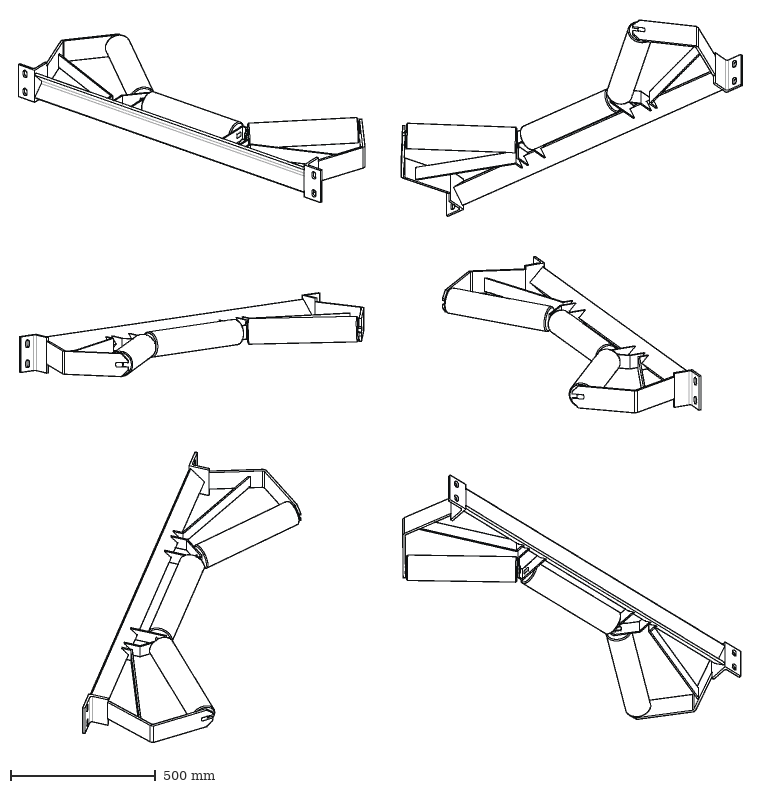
import cadquery as cq
import math

OVERALL_WIDTH = 1305.0

BEAM_LEG = 70.0
BEAM_THICKNESS = 9.0
BEAM_ROOT_RADIUS = 8.0
BEAM_LENGTH = 1162.0
BEAM_HALF_HEIGHT = BEAM_LEG / math.sqrt(2)
BEAM_RIDGE_Y = (BEAM_LEG + BEAM_THICKNESS) / math.sqrt(2)

ROLLER_DIAMETER = 89.0
ROLLER_LENGTH = 381.0
ROLLER_CHAMFER = 4.0
SPINDLE_DIAMETER = 25.0
TONGUE_WIDTH = 16.0
SPINDLE_GAP = 4.0
TROUGH_ANGLE = 40.0
FORWARD_TILT = 1.7
CENTRE_ROLLER_Y = 135.0
SIDE_ROLLER_X = 373.0
SIDE_ROLLER_Y = 273.0
SIDE_ROLLER_Z = 5.0

ARM_THICKNESS = 8.5
FOOT_HEIGHT = 125.0
FOOT_BEND_RADIUS = 8.0
UPRIGHT_TOP_Y = 72.0
STRAP_TOP_Z = BEAM_HALF_HEIGHT
STRAP_HEIGHT = 81.0
STRAP_TIP_Y = 424.0
STRAP_TIP_CHAMFER = 23.0
ELBOW_Y = 245.0
FOOT_EDGE_X = 651.0
FOOT_SLOT_WIDTH = 16.0
FOOT_SLOT_LENGTH = 27.0
FOOT_SLOT_X = 623.0
FOOT_SLOT_Z = 35.0

BAR_HEIGHT = 50.0
BRACKET_THICKNESS = 5.0
BRACKET_OUTER_X = 272.0
BRACKET_INNER_X = 197.0
BRACKET_KNEE_Y = 89.0
BRACKET_BRIDGE_Y = 158.0
BRACE_THICKNESS = 5.9
BRACE_FOOT_X = 298.0
BRACE_KNEE_Y = 67.0
BRACE_TOP_Y = 205.0

BAR_FOOT_Y = BEAM_RIDGE_Y - BAR_HEIGHT / 2
UPRIGHT_X = BEAM_LENGTH / 2 + ARM_THICKNESS / 2
ELBOW_X = OVERALL_WIDTH / 2 - ARM_THICKNESS / 2
TROUGH = math.radians(TROUGH_ANGLE)


def bent_plate(path, thickness, height, bottom_z):
    """Plate of even thickness that follows a centreline in XY, with mitred bends."""
    headings = [
        math.atan2(end[1] - start[1], end[0] - start[0])
        for start, end in zip(path, path[1:])
    ]
    left_side = []
    right_side = []
    for index, (x, y) in enumerate(path):
        before = headings[max(index - 1, 0)]
        after = headings[min(index, len(headings) - 1)]
        turn = math.remainder(after - before, 2 * math.pi)
        normal = before + turn / 2 + math.pi / 2
        reach = thickness / 2 / math.cos(turn / 2)
        dx = reach * math.cos(normal)
        dy = reach * math.sin(normal)
        left_side.append((x + dx, y + dy))
        right_side.append((x - dx, y - dy))
    outline = left_side + right_side[::-1]
    return cq.Workplane("XY").polyline(outline).close().extrude(height).translate((0, 0, bottom_z))


def mirrored(body):
    """The same body on the other side of the trough."""
    return body.mirror("YZ")


def beam_section():
    """Angle section with its corner at the origin and its legs along +X and +Y."""
    return (
        cq.Workplane("XY")
        .polyline([
            (0, 0),
            (BEAM_LEG, 0),
            (BEAM_LEG, BEAM_THICKNESS),
            (BEAM_THICKNESS, BEAM_THICKNESS),
            (BEAM_THICKNESS, BEAM_LEG),
            (0, BEAM_LEG),
        ])
        .close()
        .extrude(BEAM_LENGTH)
        .edges(cq.selectors.NearestToPointSelector((BEAM_THICKNESS, BEAM_THICKNESS, BEAM_LENGTH / 2)))
        .fillet(BEAM_ROOT_RADIUS)
    )


def along_beam(section_body):
    """Turn a body drawn on the section's axes so its corner is the ridge of the beam."""
    return (
        section_body
        .translate((0, 0, -BEAM_LENGTH / 2))
        .rotate((0, 0, 0), (0, 0, 1), 135)
        .rotate((0, 0, 0), (1, 1, 1), 120)
        .translate((0, BEAM_RIDGE_Y, 0))
    )


def make_beam():
    return along_beam(beam_section())


def beam_wedge():
    """Filled square around the beam's legs, for notching the bars that straddle the ridge."""
    return along_beam(cq.Workplane("XY").rect(BEAM_LEG, BEAM_LEG, centered=False).extrude(BEAM_LENGTH))


TONGUE_REACH = ROLLER_LENGTH / 2 + SPINDLE_GAP


def rod(diameter, length):
    """Round bar along X, centred on the origin."""
    return cq.Workplane("YZ").circle(diameter / 2).extrude(length).translate((-length / 2, 0, 0))


def make_spindle(length):
    """Spindle with two flats, so that its ends are tongues that are narrow along Z."""
    flats = cq.Workplane("XY").box(length, SPINDLE_DIAMETER, TONGUE_WIDTH)
    return rod(SPINDLE_DIAMETER, length).intersect(flats)


def make_roller(plate_thickness):
    """Roller with spindle tongues long enough to pass through a support of this thickness."""
    shell = rod(ROLLER_DIAMETER, ROLLER_LENGTH).faces("<X or >X").chamfer(ROLLER_CHAMFER)
    return shell.union(make_spindle(2 * (TONGUE_REACH + plate_thickness)))


def at_centre(body):
    return body.translate((0, CENTRE_ROLLER_Y, 0))


def at_left_side(body):
    return (
        body
        .rotate((0, 0, 0), (0, 1, 0), FORWARD_TILT)
        .rotate((0, 0, 0), (0, 0, 1), -TROUGH_ANGLE)
        .translate((-SIDE_ROLLER_X, SIDE_ROLLER_Y, SIDE_ROLLER_Z))
    )


def strap_tip_x():
    """X of the strap's centreline at its tip, beyond the outer end of the left roller."""
    reach = TONGUE_REACH + ARM_THICKNESS / 2
    end_x = -SIDE_ROLLER_X - reach * math.cos(TROUGH)
    end_y = SIDE_ROLLER_Y + reach * math.sin(TROUGH)
    return end_x + (STRAP_TIP_Y - end_y) * math.tan(TROUGH)


def make_left_arm():
    """Slotted foot, upright, bent strap and diagonal brace, welded into one body."""
    tip = (strap_tip_x(), STRAP_TIP_Y)
    elbow_start = (-ELBOW_X, ELBOW_Y)
    elbow_end = (-ELBOW_X, STRAP_TIP_Y - (tip[0] + ELBOW_X) / math.tan(TROUGH))
    shoulder = (-UPRIGHT_X, UPRIGHT_TOP_Y)
    foot_y = ARM_THICKNESS / 2
    strap_bottom_z = STRAP_TOP_Z - STRAP_HEIGHT

    foot = bent_plate(
        [(-FOOT_EDGE_X, foot_y), (-UPRIGHT_X, foot_y), shoulder],
        ARM_THICKNESS, FOOT_HEIGHT, -FOOT_HEIGHT / 2,
    )
    inside_bend = (-UPRIGHT_X - ARM_THICKNESS / 2, ARM_THICKNESS, 0)
    foot = foot.edges(cq.selectors.NearestToPointSelector(inside_bend)).fillet(FOOT_BEND_RADIUS)
    slots = (
        cq.Workplane("XZ")
        .pushPoints([(-FOOT_SLOT_X, FOOT_SLOT_Z), (-FOOT_SLOT_X, -FOOT_SLOT_Z)])
        .slot2D(FOOT_SLOT_LENGTH, FOOT_SLOT_WIDTH, 90)
        .extrude(-ARM_THICKNESS)
    )
    foot = foot.cut(slots)

    strap = bent_plate(
        [(-UPRIGHT_X, ARM_THICKNESS), shoulder, elbow_start, elbow_end, tip],
        ARM_THICKNESS, STRAP_HEIGHT, strap_bottom_z,
    )
    strap_middle_z = strap_bottom_z + STRAP_HEIGHT / 2
    strap = strap.faces(cq.selectors.NearestToPointSelector((*tip, strap_middle_z))).edges("#Z").chamfer(
        STRAP_TIP_CHAMFER
    )

    climb = (BRACE_TOP_Y - UPRIGHT_TOP_Y) / (ELBOW_Y - UPRIGHT_TOP_Y)
    brace_end = (-UPRIGHT_X + climb * (UPRIGHT_X - ELBOW_X), BRACE_TOP_Y)
    brace = bent_plate(
        [(-BRACE_FOOT_X, BAR_FOOT_Y), (-BRACE_FOOT_X, BRACE_KNEE_Y), brace_end],
        BRACE_THICKNESS, BAR_HEIGHT, -BAR_HEIGHT / 2,
    ).cut(beam_wedge())

    slot_length = 2 * TONGUE_REACH + 2 * ARM_THICKNESS + ROLLER_DIAMETER
    open_slot = cq.Workplane("XY").box(
        slot_length, ROLLER_DIAMETER, TONGUE_WIDTH, centered=(True, False, True)
    ).union(make_spindle(slot_length))
    return foot.union(strap.cut(at_left_side(open_slot))).union(brace)


def make_left_bracket():
    """Bent bar that stands on the beam, with a sloping side for the side roller."""
    bridge_x = -BRACKET_OUTER_X + (BRACKET_BRIDGE_Y - BRACKET_KNEE_Y) * math.tan(TROUGH)
    bar = bent_plate(
        [
            (-BRACKET_OUTER_X, BAR_FOOT_Y),
            (-BRACKET_OUTER_X, BRACKET_KNEE_Y),
            (bridge_x, BRACKET_BRIDGE_Y),
            (-BRACKET_INNER_X, BRACKET_BRIDGE_Y),
            (-BRACKET_INNER_X, BAR_FOOT_Y),
        ],
        BRACKET_THICKNESS, BAR_HEIGHT, -BAR_HEIGHT / 2,
    )
    return bar.cut(beam_wedge())


beam = make_beam()
left_arm = make_left_arm()
centre_roller = at_centre(make_roller(BRACKET_THICKNESS))
left_roller = at_left_side(make_roller(ARM_THICKNESS))
left_bracket = make_left_bracket().cut(centre_roller).cut(left_roller)

left_bodies = [left_arm, left_bracket, left_roller]
bodies = [beam, centre_roller]
for body in left_bodies:
    bodies += [body, mirrored(body)]

result = cq.Compound.makeCompound([body.val() for body in bodies])